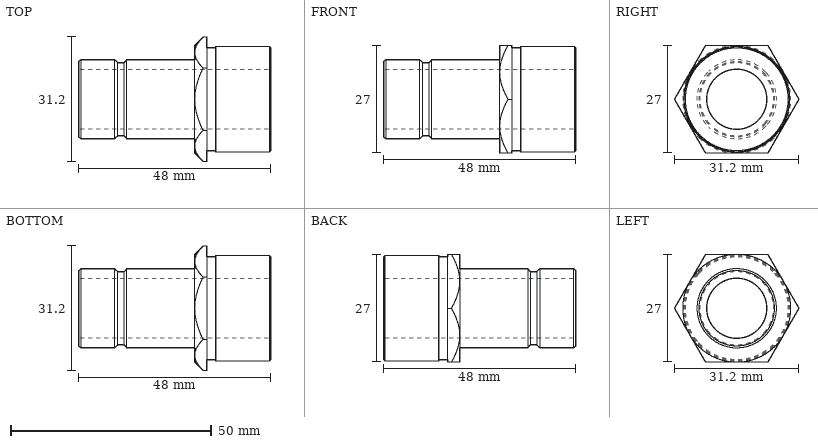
import cadquery as cq
import math


total_length = 48.0
groove_start = 9.0
groove_end = 12.0
hex_start = 29.0
hex_width = 3.0
spigot_start = 34.15

bore_diameter = 15.0
tube_diameter = 19.8
groove_diameter = 18.35
neck_diameter = 25.8
spigot_diameter = 26.45
hex_across_flats = 27.0

tube_chamfer_length = 0.6
tube_chamfer_depth = 0.5
groove_left_flank = 0.75
groove_right_flank = 0.6
spigot_inner_chamfer = 0.15
spigot_end_chamfer = 0.4

hex_end = hex_start + hex_width
hex_across_corners = hex_across_flats / math.cos(math.pi / 6)


def turned_body():
    """Solid of revolution with every turned step, groove and chamfer."""
    tube = tube_diameter / 2
    groove = groove_diameter / 2
    neck = neck_diameter / 2
    spigot = spigot_diameter / 2
    profile = [
        (0, 0),
        (0, tube - tube_chamfer_depth),
        (tube_chamfer_length, tube),
        (groove_start, tube),
        (groove_start + groove_left_flank, groove),
        (groove_end - groove_right_flank, groove),
        (groove_end, tube),
        (hex_start, tube),
        (hex_start, neck),
        (spigot_start, neck),
        (spigot_start, spigot - spigot_inner_chamfer),
        (spigot_start + spigot_inner_chamfer, spigot),
        (total_length - spigot_end_chamfer, spigot),
        (total_length, spigot - spigot_end_chamfer),
        (total_length, 0),
    ]
    return cq.Workplane("XY").polyline(profile).close().revolve(360, (0, 0, 0), (1, 0, 0))


def hex_collar():
    """Hexagon with corners on the Y axis, its tube-side corners turned off at 45 degrees."""
    prism = (
        cq.Workplane("YZ", origin=(hex_start, 0, 0))
        .polygon(6, hex_across_corners)
        .extrude(hex_width)
    )
    face_radius = hex_across_flats / 2
    cone_profile = [
        (hex_start, 0),
        (hex_start, face_radius),
        (hex_end, face_radius + hex_width),
        (hex_end, 0),
    ]
    cone = cq.Workplane("XY").polyline(cone_profile).close().revolve(360, (0, 0, 0), (1, 0, 0))
    return prism.intersect(cone)


def bore():
    """Straight passage through the whole length."""
    return cq.Workplane("YZ").circle(bore_diameter / 2).extrude(total_length)


result = turned_body().union(hex_collar()).cut(bore())